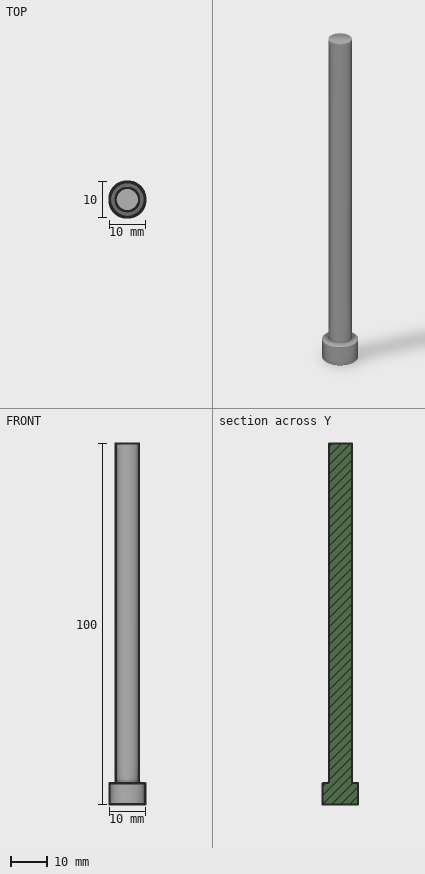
import cadquery as cq

total_length = 100.0
head_diameter = 10.0
head_height = 6.0
shank_diameter = 6.5
rim_chamfer = 0.2
neck_fillet = 0.3


def make_head():
    """Cylindrical head with its bottom and top rims chamfered."""
    head = cq.Workplane("XY").circle(head_diameter / 2).extrude(head_height)
    return head.edges("%CIRCLE").chamfer(rim_chamfer)


def make_shank():
    """Plain round shank standing on top of the head."""
    shank_base = cq.Workplane("XY").workplane(offset=head_height)
    return shank_base.circle(shank_diameter / 2).extrude(total_length - head_height)


def round_neck(pin):
    """Blend the shank into the top face of the head."""
    neck_reach = shank_diameter / 2 + neck_fillet
    neck_zone = cq.selectors.BoxSelector(
        (-neck_reach, -neck_reach, head_height - neck_fillet),
        (neck_reach, neck_reach, head_height + neck_fillet),
        boundingbox=True,
    )
    return pin.edges(neck_zone).fillet(neck_fillet)


result = round_neck(make_head().union(make_shank()))